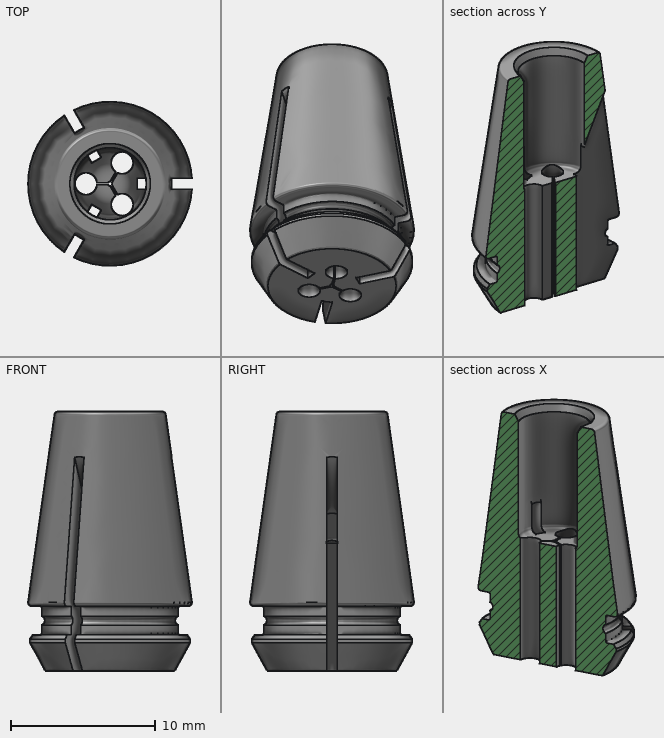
import cadquery as cq
import math

ARC_INSET = 1 - math.sqrt(0.5)

total_height = 18.0
max_radius = 5.697
taper_angle = 8.0
nose_radius = 4.45
nose_edge = 0.1
flange_radius = 5.58
flange_edge_z = 1.98
flange_top_z = 2.5
flange_edge_height = 0.3
flange_edge_width = 0.22
neck_radius = 4.75
neck_top_z = 4.5
neck_fillet = 0.1
groove_bottom_z = 3.19
groove_top_z = 3.82
groove_depth = 0.22
rim_edge = 0.27

bore_radius = 5.0 / 2
bore_mouth_radius = 2.79
bore_mouth_depth = 0.5
floor_fillet = 0.41
floor_z = 8.87

slot_count = 3
slot_width = 0.75
slot_top_z = 14.85
slot_end_angle = 65.5
slot_inner_radius = 1.89

relief_radius = 0.75
relief_offset = 1.67
slit_width = 0.13
center_radius = 0.15

slot_pitch = 360 / slot_count
taper_slope = math.tan(math.radians(taper_angle))
taper_bottom_z = neck_top_z + rim_edge


def taper_radius(z):
    """Radius of the outer taper at height z."""
    return max_radius - (z - taper_bottom_z) * taper_slope


def make_body():
    rim_z = total_height - rim_edge
    rim_radius = taper_radius(rim_z)
    rim_corner = rim_edge * ARC_INSET
    neck_corner = neck_fillet * ARC_INSET
    groove_mid_z = (groove_bottom_z + groove_top_z) / 2
    profile = (
        cq.Workplane("XZ")
        .lineTo(nose_radius, 0)
        .lineTo(nose_radius + nose_edge, nose_edge)
        .lineTo(flange_radius, flange_edge_z)
        .lineTo(flange_radius, flange_top_z - flange_edge_height)
        .lineTo(flange_radius - flange_edge_width, flange_top_z)
        .lineTo(neck_radius + neck_fillet, flange_top_z)
        .threePointArc(
            (neck_radius + neck_corner, flange_top_z + neck_corner),
            (neck_radius, flange_top_z + neck_fillet),
        )
        .lineTo(neck_radius, groove_bottom_z)
        .threePointArc((neck_radius - groove_depth, groove_mid_z), (neck_radius, groove_top_z))
        .lineTo(neck_radius, neck_top_z - neck_fillet)
        .threePointArc(
            (neck_radius + neck_corner, neck_top_z - neck_corner),
            (neck_radius + neck_fillet, neck_top_z),
        )
        .lineTo(max_radius - rim_edge, neck_top_z)
        .threePointArc(
            (max_radius - rim_corner, neck_top_z + rim_corner),
            (max_radius, taper_bottom_z),
        )
        .lineTo(rim_radius, rim_z)
        .threePointArc(
            (rim_radius - rim_corner, total_height - rim_corner),
            (rim_radius - rim_edge, total_height),
        )
        .lineTo(0, total_height)
        .close()
    )
    return profile.revolve(360, (0, 0), (0, 1))


def make_bore():
    """Bore with a conical mouth and a fillet around its floor."""
    floor_corner = floor_fillet * ARC_INSET
    return (
        cq.Workplane("XZ")
        .moveTo(0, floor_z)
        .lineTo(bore_radius - floor_fillet, floor_z)
        .threePointArc(
            (bore_radius - floor_corner, floor_z + floor_corner),
            (bore_radius, floor_z + floor_fillet),
        )
        .lineTo(bore_radius, total_height - bore_mouth_depth)
        .lineTo(bore_mouth_radius, total_height)
        .lineTo(0, total_height)
        .close()
        .revolve(360, (0, 0), (0, 1))
    )


def make_outer_slot():
    """Saw slot open to the nose, with an inclined upper end that runs out at the taper."""
    end_slope = math.tan(math.radians(slot_end_angle))
    top_radius = taper_radius(slot_top_z)
    inner_top_z = slot_top_z - (top_radius - slot_inner_radius) * end_slope
    return (
        cq.Workplane("XZ")
        .moveTo(slot_inner_radius, 0)
        .lineTo(max_radius, 0)
        .lineTo(max_radius, slot_top_z)
        .lineTo(top_radius, slot_top_z)
        .lineTo(slot_inner_radius, inner_top_z)
        .close()
        .extrude(slot_width / 2, both=True)
    )


def make_relief_slit():
    """Hole through the bore floor and its fillet, joined to the axis by a narrow slit."""
    slit = cq.Workplane("XY").center(-relief_offset / 2, 0).rect(relief_offset, slit_width).extrude(floor_z)
    hole = cq.Workplane("XY").center(-relief_offset, 0).circle(relief_radius)
    return slit.union(hole.extrude(floor_z + floor_fillet))


result = make_body().cut(make_bore())
result = result.cut(cq.Workplane("XY").circle(center_radius).extrude(floor_z))
for index in range(slot_count):
    for cutter in (make_outer_slot(), make_relief_slit()):
        result = result.cut(cutter.rotate((0, 0, 0), (0, 0, 1), index * slot_pitch))